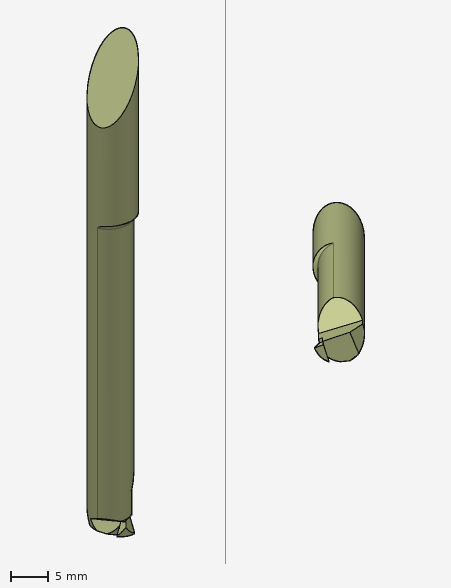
import cadquery as cq
import math

length = 78.4
radius = 3.49
diameter = 2 * radius
top_angle = 60.0

neck_offset = 0.7
neck_top = 49.95
neck_blend = 0.9

rake_y = 0.35
rake_slope_bottom = 6.4
heel_z = 3.85
heel_angle = 60.0
corner_x = 3.45
relief_along_x = 0.15
relief_along_y = 0.13

notch_direction = -70.0
notch_depth_radius = 2.3
notch_root_z = 2.35
notch_top_z = 3.4
notch_lip_z = 0.4

tip_joint_x = 2.2
tip_top = 2.5
tip_nose_z = 0.2
tip_rake_y = -0.15


def half_space(origin, normal):
    """Large block that fills the side of a plane that its normal points to."""
    size = 3 * length
    plane = cq.Plane(origin=origin, normal=normal)
    return cq.Workplane(plane).rect(size, size).extrude(size)


def make_shank():
    """Round bar with a slanted top face that is highest at +Y."""
    slope = math.tan(math.radians(top_angle))
    shank = cq.Workplane("XY").circle(radius).extrude(length)
    return shank.cut(half_space((0, radius, length), (0, -slope, 1)))


def make_neck_envelope():
    """Offset round that widens through a concave blend at the neck's top."""
    blend_middle = neck_blend * math.sqrt(0.5)
    profile = (
        cq.Workplane("XZ")
        .lineTo(radius, 0)
        .lineTo(radius, neck_top)
        .threePointArc(
            (radius + neck_blend - blend_middle, neck_top + blend_middle),
            (radius + neck_blend, neck_top + neck_blend),
        )
        .lineTo(diameter, neck_top + neck_blend)
        .lineTo(diameter, length)
        .lineTo(0, length)
        .close()
    )
    return profile.revolve(360, (0, 0, 0), (0, 1, 0)).translate((-neck_offset, 0, 0))


def make_rake_cut():
    """Space above the rake face and its long slanted run-out."""
    run_out = (radius - rake_y) * math.tan(math.radians(top_angle))
    return (
        cq.Workplane("YZ")
        .moveTo(rake_y, -length)
        .lineTo(rake_y, rake_slope_bottom)
        .lineTo(radius, rake_slope_bottom + run_out)
        .lineTo(diameter, rake_slope_bottom + run_out)
        .lineTo(diameter, -length)
        .close()
        .extrude(radius, both=True)
    )


def make_heel_cut():
    """Space beyond the chamfer on the -X side of the end."""
    slope = math.tan(math.radians(heel_angle))
    return half_space((-radius, 0, heel_z), (-slope, 0, -1))


def make_relief_cut():
    """Space below the end face, which rises away from the cutting corner."""
    return half_space((corner_x, tip_rake_y, 0), (-relief_along_x, -relief_along_y, -1))


def make_notch():
    """Straight V notch, cut square to its outward normal."""
    return (
        cq.Workplane("XZ")
        .moveTo(notch_depth_radius, notch_root_z)
        .lineTo(radius, notch_top_z)
        .lineTo(diameter, notch_top_z)
        .lineTo(diameter, notch_lip_z)
        .lineTo(radius, notch_lip_z)
        .close()
        .extrude(diameter, both=True)
        .rotate((0, 0, 0), (0, 0, 1), notch_direction)
    )


def make_tip_blank():
    """Wedge that reaches past the neck to the full bar radius."""
    neck_edge_x = radius - neck_offset
    return (
        cq.Workplane("XZ")
        .moveTo(tip_joint_x, -radius)
        .lineTo(tip_joint_x, tip_top)
        .lineTo(neck_edge_x, tip_top)
        .lineTo(radius, tip_nose_z)
        .lineTo(radius, -radius)
        .close()
        .extrude(diameter, both=True)
    )


def cut_end(body):
    """Shape the cutting end shared by the bar and its tip."""
    for cutter in (make_rake_cut(), make_heel_cut(), make_relief_cut(), make_notch()):
        body = body.cut(cutter)
    return body


shank = make_shank()
tip_blank = make_tip_blank()
bar = cut_end(shank.intersect(make_neck_envelope()).cut(tip_blank))

tip = cut_end(shank.intersect(tip_blank)).cut(half_space((0, tip_rake_y, 0), (0, 1, 0)))

result = cq.Compound.makeCompound([bar.solids().val(), tip.solids().val()])